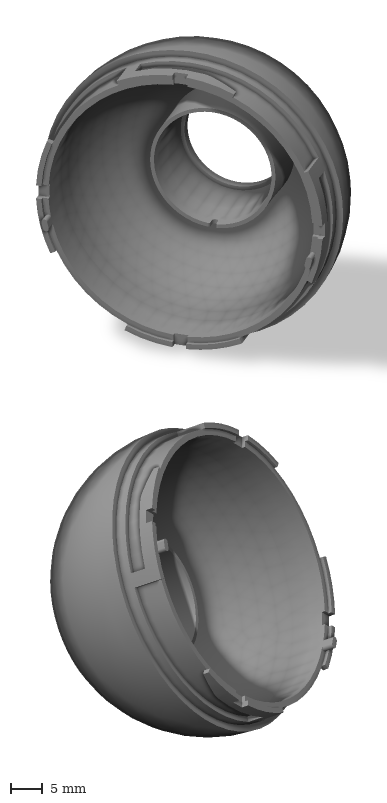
import cadquery as cq
import math


dome_radius = 25.0
inner_radius = 22.0
dome_height = 23.4
hole_radius = 8.65
lip_thickness = 1.5

collar_mouth_y = 9.9
collar_mouth_outer_radius = 10.45
collar_root_radius = 10.6
collar_mouth_radius = 9.8
collar_deep_radius = 9.3
collar_slot_width = 1.0
collar_slot_depth = 1.6
collar_slot_rounding = 0.35

flange_radius = 23.9
flange_depth = 1.8
neck_radius = 23.0
neck_depth = 6.5
lug_depth = 7.1
lug_count = 4
lug_start_angle = 67.5
lug_end_angle = 115.9
post_angle = 5.8
slot_depth = 4.6
ramp_start_x = 4.0
ramp_end_x = 9.15
ramp_end_depth = 6.05
ramp_rounding = 5.0
notch_width = 2.3
notch_floor_depth = 5.9

pin_tip_depth = 8.45
pin_angle = 12.8
pin_length = 2.05


def ring_sector(r_in, r_out, depth_from, depth_to, start_angle, span):
    """Ring segment around Y; angles run from +X toward +Z."""
    band = cq.Workplane("XY").moveTo(r_in, -depth_from).lineTo(r_out, -depth_from)
    band = band.lineTo(r_out, -depth_to).lineTo(r_in, -depth_to).close()
    sector = band.revolve(span, (0, 0, 0), (0, -1, 0))
    return sector.rotate((0, 0, 0), (0, 1, 0), -start_angle)


def make_body():
    """Dome, collar, neck and lug ring as one revolved profile."""
    lip_y = dome_height - lip_thickness
    dome_edge_radius = math.sqrt(dome_radius**2 - dome_height**2)
    collar_root_y = math.sqrt(inner_radius**2 - collar_root_radius**2)
    mid_angle = math.radians(45)
    outer_mid = (dome_radius * math.cos(mid_angle), dome_radius * math.sin(mid_angle))
    inner_mid = (inner_radius * math.cos(mid_angle), inner_radius * math.sin(mid_angle))
    profile = (
        cq.Workplane("XY")
        .moveTo(inner_radius, -neck_depth)
        .lineTo(neck_radius, -neck_depth)
        .lineTo(neck_radius, -lug_depth)
        .lineTo(flange_radius, -lug_depth)
        .lineTo(flange_radius, 0)
        .lineTo(dome_radius, 0)
        .threePointArc(outer_mid, (dome_edge_radius, dome_height))
        .lineTo(hole_radius, dome_height)
        .lineTo(hole_radius, lip_y)
        .lineTo(collar_deep_radius, lip_y)
        .lineTo(collar_mouth_radius, collar_mouth_y)
        .lineTo(collar_mouth_outer_radius, collar_mouth_y)
        .lineTo(collar_root_radius, collar_root_y)
        .threePointArc(inner_mid, (inner_radius, 0))
        .close()
    )
    return profile.revolve(360, (0, 0, 0), (0, 1, 0))


def make_collar_slot():
    """Round-ended slot with rounded entry corners, through the -Z wall of the collar."""
    half_width = collar_slot_width / 2
    mouth_half_width = half_width + collar_slot_rounding
    entry_y = collar_mouth_y + collar_slot_rounding
    floor_y = collar_mouth_y + collar_slot_depth
    diagonal = collar_slot_rounding * (1 - math.sqrt(0.5))
    corner_x = half_width + diagonal
    corner_y = collar_mouth_y + diagonal
    outline = (
        cq.Workplane("XY")
        .moveTo(-mouth_half_width, collar_mouth_y)
        .threePointArc((-corner_x, corner_y), (-half_width, entry_y))
        .lineTo(-half_width, floor_y - half_width)
        .threePointArc((0, floor_y), (half_width, floor_y - half_width))
        .lineTo(half_width, entry_y)
        .threePointArc((corner_x, corner_y), (mouth_half_width, collar_mouth_y))
        .close()
    )
    return outline.extrude(-collar_root_radius)


def make_lug_gap():
    """Clear space between two neighbouring lugs, from post to ramp tip."""
    gap_span = 360 / lug_count - (lug_end_angle - lug_start_angle)
    return ring_sector(
        neck_radius, dome_radius, flange_depth, pin_tip_depth, lug_start_angle - gap_span, gap_span
    )


def make_lug_channel():
    """Channel behind the lug near +Z, leaving a post and a ledge with a lead-in ramp at its tip."""
    ledge_span = lug_end_angle - post_angle - lug_start_angle
    channel = ring_sector(
        neck_radius, dome_radius, flange_depth, lug_depth, lug_start_angle, ledge_span
    )
    side_outline = (
        cq.Workplane("XY")
        .moveTo(-dome_radius, -flange_depth)
        .lineTo(ramp_end_x, -flange_depth)
        .lineTo(ramp_end_x, -ramp_end_depth)
        .lineTo(ramp_start_x, -slot_depth)
        .lineTo(-dome_radius, -slot_depth)
        .close()
        .extrude(dome_radius)
    )
    ramp_foot = cq.selectors.NearestToPointSelector((ramp_start_x, -slot_depth, dome_radius / 2))
    return channel.intersect(side_outline.edges(ramp_foot).fillet(ramp_rounding))


def make_notch():
    """Radial notch through the lug and neck wall at +Z."""
    height = lug_depth - notch_floor_depth
    notch = cq.Workplane("XY").box(notch_width, height, dome_radius, centered=(True, False, False))
    return notch.translate((0, -lug_depth, 0))


def make_pin(side_angle):
    """Round-ended locating pin, curved along the neck wall and standing on its end."""
    mid_radius = (inner_radius + neck_radius) / 2
    round_radius = (neck_radius - inner_radius) / 2
    half_bend = math.degrees((pin_length / 2 - round_radius) / mid_radius)
    half_tip = half_bend + math.degrees(round_radius / mid_radius)

    def at(radius, offset):
        angle = math.radians(side_angle + offset)
        return (radius * math.cos(angle), radius * math.sin(angle))

    outline = (
        cq.Workplane("XZ", origin=(0, -neck_depth, 0))
        .moveTo(*at(inner_radius, -half_bend))
        .threePointArc(at(inner_radius, 0), at(inner_radius, half_bend))
        .threePointArc(at(mid_radius, half_tip), at(neck_radius, half_bend))
        .threePointArc(at(neck_radius, 0), at(neck_radius, -half_bend))
        .threePointArc(at(mid_radius, -half_tip), at(inner_radius, -half_bend))
        .close()
    )
    return outline.extrude(pin_tip_depth - neck_depth)


body = make_body().cut(make_collar_slot())

for index in range(lug_count):
    turn = index * 360 / lug_count
    for cutter in (make_lug_gap(), make_lug_channel(), make_notch()):
        body = body.cut(cutter.rotate((0, 0, 0), (0, 1, 0), turn))

for side_angle in (-pin_angle, 180 + pin_angle):
    body = body.union(make_pin(side_angle))

result = body